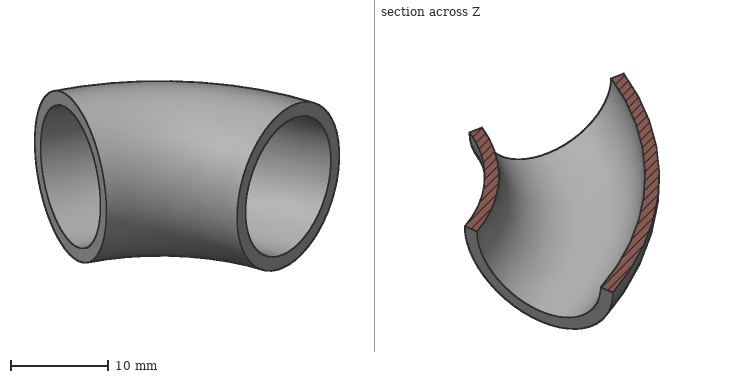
import cadquery as cq
import math

overall_length = 27.28
outer_diameter = 18.0
bore_diameter = 15.0
bend_angle = 60.0

outside_bend_radius = overall_length / math.sin(math.radians(bend_angle))
bend_radius = outside_bend_radius - outer_diameter / 2


def bent_rod(diameter):
    """Solid round bar starting at the XZ plane and bending from +Y toward +X."""
    return (
        cq.Workplane("XZ")
        .circle(diameter / 2)
        .revolve(bend_angle, (bend_radius, 0), (bend_radius, -1))
    )


result = bent_rod(outer_diameter).cut(bent_rod(bore_diameter))